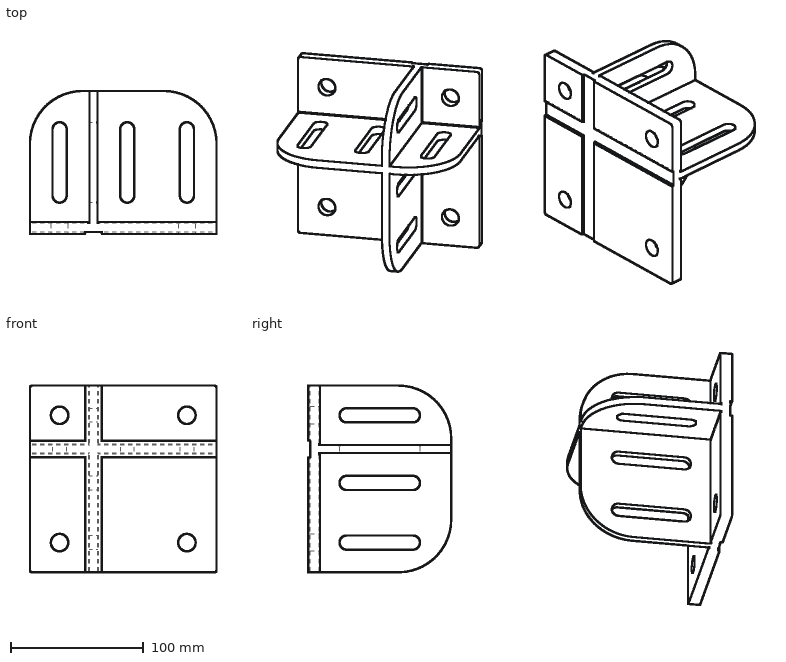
import cadquery as cq

plate_size = 141.0
plate_thickness = 9.0
plate_corner_radius = 2.0

total_depth = 108.0
fin_thickness = 6.0
fin_corner_radius = 40.0
fin_edge_distance = 48.0

bolt_hole_diameter = 13.0
bolt_edge_distance = 22.5
slot_width = 10.5
slot_travel = 50.0
slot_centre_y = 54.0

groove_mouth_width = 13.0
groove_floor_width = 12.0
groove_depth = 1.5

relief_width = 7.6
relief_depth = 0.75

half_size = plate_size / 2
fin_offset = half_size - fin_edge_distance
bolt_offset = half_size - bolt_edge_distance
slot_spacing_from_fin = bolt_offset - fin_offset
relief_floor_y = plate_thickness - relief_depth

AXIS_START = (0, 0, 0)
AXIS_END = (0, 1, 0)
QUARTER_TURN = 90


def with_crossing_copy(body):
    """Body of the upright fin plus its mirror image for the level fin."""
    level_body = body.rotate(AXIS_START, AXIS_END, QUARTER_TURN).mirror("YZ")
    return body.union(level_body)


def make_plate():
    plate = (
        cq.Workplane("XY")
        .box(plate_size, plate_thickness, plate_size, centered=(True, False, True))
        .edges("|Y")
        .fillet(plate_corner_radius)
    )
    bolts = (
        cq.Workplane("XZ")
        .rect(2 * bolt_offset, 2 * bolt_offset, forConstruction=True)
        .vertices()
        .circle(bolt_hole_diameter / 2)
        .extrude(-plate_thickness)
    )
    return plate.cut(bolts)


def tapered_strip(width_start, width_end, y_start, y_end):
    """Full-height strip centred on the upright fin, its width changing along Y."""
    return (
        cq.Workplane("XY", origin=(-fin_offset, 0, -half_size))
        .polyline(
            [
                (-width_start / 2, y_start),
                (width_start / 2, y_start),
                (width_end / 2, y_end),
                (-width_end / 2, y_end),
            ]
        )
        .close()
        .extrude(plate_size)
    )


def make_fin():
    blank = tapered_strip(fin_thickness, fin_thickness, relief_floor_y, total_depth)
    return blank.edges("|X and >Y").fillet(fin_corner_radius)


def make_slots():
    """Three slots through the upright fin, one above and two below the level fin."""
    slot_heights = (bolt_offset, fin_offset - slot_spacing_from_fin, -bolt_offset)
    return (
        cq.Workplane("YZ", origin=(-fin_offset, 0, 0))
        .pushPoints([(slot_centre_y, height) for height in slot_heights])
        .slot2D(slot_travel + slot_width, slot_width)
        .extrude(fin_thickness, both=True)
    )


grooves = with_crossing_copy(tapered_strip(groove_mouth_width, groove_floor_width, 0, groove_depth))
reliefs = with_crossing_copy(tapered_strip(relief_width, relief_width, relief_floor_y, plate_thickness))
fins = with_crossing_copy(make_fin())
slots = with_crossing_copy(make_slots())

result = make_plate().cut(grooves).cut(reliefs).union(fins).cut(slots)